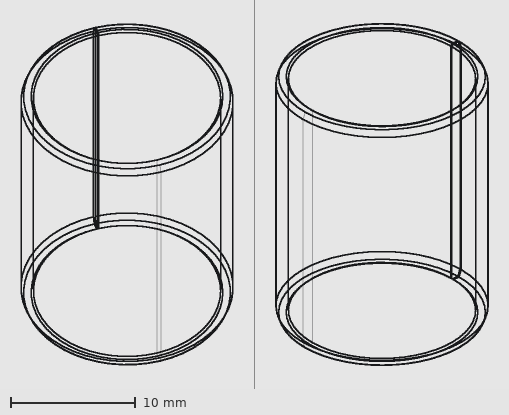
import cadquery as cq

length = 22.0
outer_diameter = 17.0
inner_diameter = 15.0
outer_chamfer_height = 0.6
outer_chamfer_depth = 0.22
inner_chamfer = 0.18
seam_width = 0.13

outer_radius = outer_diameter / 2
inner_radius = inner_diameter / 2
half_length = length / 2


def make_sleeve():
    """Revolve the wall section, with both ends chamfered inside and out."""
    end_outer_radius = outer_radius - outer_chamfer_depth
    end_inner_radius = inner_radius + inner_chamfer
    outer_shoulder = half_length - outer_chamfer_height
    inner_shoulder = half_length - inner_chamfer
    wall_section = (
        cq.Workplane("XZ")
        .moveTo(end_inner_radius, -half_length)
        .lineTo(end_outer_radius, -half_length)
        .lineTo(outer_radius, -outer_shoulder)
        .lineTo(outer_radius, outer_shoulder)
        .lineTo(end_outer_radius, half_length)
        .lineTo(end_inner_radius, half_length)
        .lineTo(inner_radius, inner_shoulder)
        .lineTo(inner_radius, -inner_shoulder)
        .close()
    )
    return wall_section.revolve(360, (0, 0, 0), (0, 1, 0))


def make_seam_cutter():
    """Full-length slit through the -X wall, its lower side lying on the XZ plane."""
    return (
        cq.Workplane("XY")
        .box(outer_diameter, seam_width, length)
        .translate((-outer_radius, seam_width / 2, 0))
    )


result = make_sleeve().cut(make_seam_cutter())